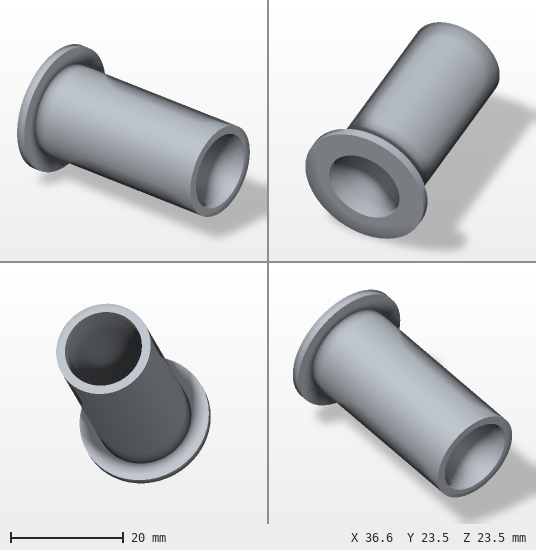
import cadquery as cq

total_length = 36.6
flange_diameter = 23.5
flange_thickness = 1.6
tube_diameter = 17.15
bore_diameter = 13.98

flange = cq.Workplane("YZ").circle(flange_diameter / 2).extrude(flange_thickness)

tube = cq.Workplane("YZ").circle(tube_diameter / 2).extrude(total_length)

bore = cq.Workplane("YZ").circle(bore_diameter / 2).extrude(total_length)

result = flange.union(tube).cut(bore)